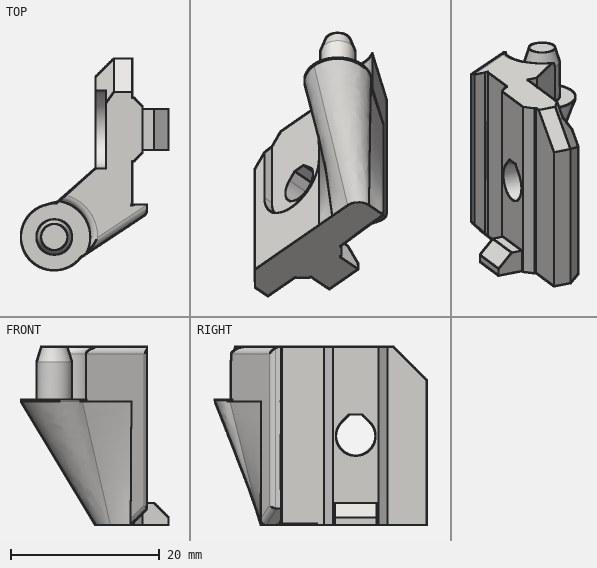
import cadquery as cq
import math

HEIGHT = 24.0
BACK_Y = 24.0

PIN_RADIUS = 2.4
PIN_TIP_RADIUS = 1.77
PIN_TIP_LENGTH = 2.05
SEAT_RADIUS = 4.5
SEAT_THICKNESS = 0.25
SEAT_TOP = 16.9
SUPPORT_TOP = SEAT_TOP - SEAT_THICKNESS
CLEARANCE_RADIUS = 4.85

PLATE_LEFT = 5.53
PLATE_RIGHT = 10.5
PLATE_CORNER = 2.48
PLATE_TOP_BEVEL = 4.5

HOLE_Y = 14.45
HOLE_Z = HEIGHT / 2
HOLE_DIAMETER = 5.27
HOLE_RADIUS = HOLE_DIAMETER / 2
HOLE_FLAT_HEIGHT = 2.88
RECESS_RADIUS = 5.22
RECESS_DEPTH = 1.42
PLATE_FRONT = HOLE_Y - RECESS_RADIUS

BOSS_RIGHT = 11.88
BOSS_STEP = 0.23
BOSS_BASE_HALF = 4.28
BOSS_FACE_HALF = 3.08
FOOT_RIGHT = 15.4
FOOT_HEIGHT = 3.0
FOOT_BEVEL = 1.97
FOOT_WIDTH = 5.55

FRONT_ANGLE = math.radians(33.5)
FRONT_OFFSET = 4.28
FLANGE_RIGHT = 12.48
FLANGE_BACK = 4.4
FLANGE_BEVEL = 2.22
FLANGE_INNER = 10.37
RELIEF_SIZE = 0.17
ARM_FILLET = 1.0
ARM_BACK_END = (0, 4.33)
ARM_FRONT_END_X = 2.85

FOOTPRINT_FRONT = 1.68
FOOTPRINT_RADIUS = 2.02
FOOTPRINT_RIGHT = FLANGE_RIGHT - FLANGE_BEVEL
FOOTPRINT_BACK_CORNER = 6.67
SEAT_BACK_ANGLE = 86
SEAT_FRONT_ANGLE = 327


def front_y(x):
    """Y of the slanted front face at a given X."""
    return x * math.tan(FRONT_ANGLE) - FRONT_OFFSET / math.cos(FRONT_ANGLE)


def on_circle(center, radius, degrees):
    angle = math.radians(degrees)
    return (center[0] + radius * math.cos(angle), center[1] + radius * math.sin(angle))


def cylinder(radius, bottom, top):
    return cq.Workplane("XY").workplane(offset=bottom).circle(radius).extrude(top - bottom)


def make_plate():
    """Plate with a sloped top corner, chamfered along its back and sloped left edges."""
    plate = (
        cq.Workplane("YZ", origin=(PLATE_LEFT, 0, 0))
        .moveTo(PLATE_FRONT, 0)
        .lineTo(BACK_Y, 0)
        .lineTo(BACK_Y, HEIGHT - PLATE_TOP_BEVEL)
        .lineTo(BACK_Y - PLATE_TOP_BEVEL, HEIGHT)
        .lineTo(PLATE_FRONT, HEIGHT)
        .close()
        .extrude(PLATE_RIGHT - PLATE_LEFT)
    )
    slope_middle = (PLATE_LEFT, BACK_Y - PLATE_TOP_BEVEL / 2, HEIGHT - PLATE_TOP_BEVEL / 2)
    slope_edge = plate.edges(cq.selectors.NearestToPointSelector(slope_middle))
    back_edge = plate.faces("<X").edges(">Y")
    return plate.newObject(slope_edge.vals() + back_edge.vals()).chamfer(PLATE_CORNER)


def make_boss():
    step_x = PLATE_RIGHT + BOSS_STEP
    return (
        cq.Workplane("XY")
        .moveTo(PLATE_RIGHT, HOLE_Y - BOSS_BASE_HALF)
        .lineTo(step_x, HOLE_Y - BOSS_BASE_HALF)
        .lineTo(BOSS_RIGHT, HOLE_Y - BOSS_FACE_HALF)
        .lineTo(BOSS_RIGHT, HOLE_Y + BOSS_FACE_HALF)
        .lineTo(step_x, HOLE_Y + BOSS_BASE_HALF)
        .lineTo(PLATE_RIGHT, HOLE_Y + BOSS_BASE_HALF)
        .close()
        .extrude(HEIGHT)
    )


def make_foot():
    return (
        cq.Workplane("XZ", origin=(0, HOLE_Y, 0))
        .moveTo(PLATE_RIGHT, 0)
        .lineTo(FOOT_RIGHT, 0)
        .lineTo(FOOT_RIGHT, FOOT_HEIGHT - FOOT_BEVEL)
        .lineTo(FOOT_RIGHT - FOOT_BEVEL, FOOT_HEIGHT)
        .lineTo(PLATE_RIGHT, FOOT_HEIGHT)
        .close()
        .extrude(FOOT_WIDTH / 2, both=True)
    )


def make_arm():
    """Arm above the support, with the flange running down to the underside."""
    arm = (
        cq.Workplane("XY")
        .moveTo(*ARM_BACK_END)
        .lineTo(ARM_FRONT_END_X, front_y(ARM_FRONT_END_X))
        .lineTo(FLANGE_RIGHT, front_y(FLANGE_RIGHT))
        .lineTo(FLANGE_RIGHT, FLANGE_BACK)
        .lineTo(PLATE_RIGHT + 2 * RELIEF_SIZE, FLANGE_BACK)
        .lineTo(PLATE_RIGHT - RELIEF_SIZE, FLANGE_BACK - RELIEF_SIZE)
        .lineTo(PLATE_RIGHT, FLANGE_BACK + RELIEF_SIZE)
        .lineTo(PLATE_RIGHT, PLATE_FRONT)
        .lineTo(PLATE_LEFT, PLATE_FRONT)
        .close()
        .extrude(HEIGHT)
    )
    bevel = (
        cq.Workplane("XZ", origin=(0, PLATE_FRONT, 0))
        .moveTo(FLANGE_RIGHT - FLANGE_BEVEL, 0)
        .lineTo(FLANGE_RIGHT, 0)
        .lineTo(FLANGE_RIGHT, FLANGE_BEVEL)
        .close()
        .extrude(2 * PLATE_FRONT)
    )
    arm = arm.cut(bevel).cut(cylinder(CLEARANCE_RADIUS, SEAT_TOP, HEIGHT))

    middle_x = (CLEARANCE_RADIUS + FLANGE_RIGHT) / 2
    front_edges = [
        (middle_x, front_y(middle_x), HEIGHT),
        (FLANGE_RIGHT, front_y(FLANGE_RIGHT), HEIGHT / 2),
        (FLANGE_RIGHT - FLANGE_BEVEL / 2, front_y(FLANGE_RIGHT - FLANGE_BEVEL / 2), FLANGE_BEVEL / 2),
    ]
    rim_middle = (*on_circle((0, 0), CLEARANCE_RADIUS, 30), HEIGHT)
    edges = cq.Workplane("XY")
    for point in front_edges + [rim_middle]:
        edges = edges.add(arm.edges(cq.selectors.NearestToPointSelector(point)))
    arm = cq.Workplane(arm.val().fillet(ARM_FILLET, edges.vals()))

    below_arm = (
        cq.Workplane("XZ", origin=(0, PLATE_FRONT, 0))
        .lineTo(FOOTPRINT_RIGHT, 0)
        .lineTo(FLANGE_INNER, SUPPORT_TOP)
        .lineTo(0, SUPPORT_TOP)
        .close()
        .extrude(2 * PLATE_FRONT)
    )
    return arm.cut(below_arm)


def make_support():
    """Ruled body from the seat outline down to the smaller footprint."""
    seat = (0, 0)
    corner = (PLATE_LEFT + FOOTPRINT_RADIUS, FOOTPRINT_FRONT + FOOTPRINT_RADIUS)
    back_middle = (SEAT_BACK_ANGLE + 180) / 2
    front_middle = (180 + SEAT_FRONT_ANGLE) / 2
    return (
        cq.Workplane("XY")
        .moveTo(FOOTPRINT_RIGHT, FOOTPRINT_FRONT)
        .lineTo(PLATE_RIGHT, PLATE_FRONT)
        .lineTo(PLATE_LEFT, PLATE_FRONT)
        .lineTo(PLATE_LEFT, FOOTPRINT_BACK_CORNER)
        .lineTo(PLATE_LEFT, corner[1])
        .threePointArc(on_circle(corner, FOOTPRINT_RADIUS, 225), (corner[0], FOOTPRINT_FRONT))
        .close()
        .workplane(offset=SUPPORT_TOP)
        .moveTo(FLANGE_INNER, front_y(FLANGE_INNER))
        .lineTo(PLATE_RIGHT, PLATE_FRONT)
        .lineTo(PLATE_LEFT, PLATE_FRONT)
        .lineTo(*on_circle(seat, SEAT_RADIUS, SEAT_BACK_ANGLE))
        .threePointArc(on_circle(seat, SEAT_RADIUS, back_middle), (-SEAT_RADIUS, 0))
        .threePointArc(
            on_circle(seat, SEAT_RADIUS, front_middle),
            on_circle(seat, SEAT_RADIUS, SEAT_FRONT_ANGLE),
        )
        .close()
        .loft(ruled=True)
    )


def make_pin():
    tip_bottom = HEIGHT - PIN_TIP_LENGTH
    return (
        cq.Workplane("XZ")
        .moveTo(0, SUPPORT_TOP)
        .lineTo(SEAT_RADIUS, SUPPORT_TOP)
        .lineTo(SEAT_RADIUS, SEAT_TOP)
        .lineTo(PIN_RADIUS, SEAT_TOP)
        .lineTo(PIN_RADIUS, tip_bottom)
        .lineTo(PIN_TIP_RADIUS, HEIGHT)
        .lineTo(0, HEIGHT)
        .close()
        .revolve(360, (0, 0), (0, 1))
    )


def make_recess():
    return (
        cq.Workplane("YZ", origin=(PLATE_LEFT, 0, 0))
        .moveTo(HOLE_Y - RECESS_RADIUS, HEIGHT)
        .lineTo(HOLE_Y - RECESS_RADIUS, HOLE_Z)
        .threePointArc((HOLE_Y, HOLE_Z - RECESS_RADIUS), (HOLE_Y + RECESS_RADIUS, HOLE_Z))
        .lineTo(HOLE_Y + RECESS_RADIUS, HEIGHT)
        .close()
        .extrude(RECESS_DEPTH)
    )


def make_hole():
    tangent = HOLE_RADIUS * math.sqrt(0.5)
    flat_half = HOLE_RADIUS * math.sqrt(2) - HOLE_FLAT_HEIGHT
    return (
        cq.Workplane("YZ", origin=(PLATE_LEFT, 0, 0))
        .moveTo(HOLE_Y - tangent, HOLE_Z + tangent)
        .threePointArc((HOLE_Y, HOLE_Z - HOLE_RADIUS), (HOLE_Y + tangent, HOLE_Z + tangent))
        .lineTo(HOLE_Y + flat_half, HOLE_Z + HOLE_FLAT_HEIGHT)
        .lineTo(HOLE_Y - flat_half, HOLE_Z + HOLE_FLAT_HEIGHT)
        .close()
        .extrude(BOSS_RIGHT - PLATE_LEFT)
    )


body = make_plate().union(make_boss()).union(make_foot()).union(make_arm())
body = body.union(make_support()).union(make_pin())
result = body.cut(make_recess()).cut(make_hole())